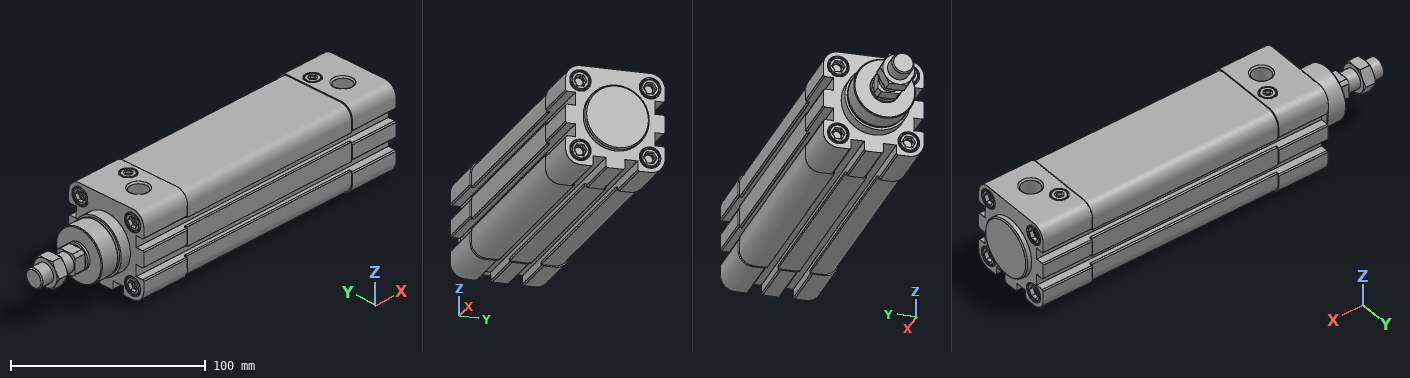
import cadquery as cq
import math

OVERALL_LENGTH = 242.5
COLLAR_START = 33.2
COLLAR_STEP = 46.5
FRONT_FACE = 53.4
CAP_LENGTH = 32.3
REAR_BOSS_LENGTH = 3.5
REAR_FACE = OVERALL_LENGTH - REAR_BOSS_LENGTH
TUBE_START = FRONT_FACE + CAP_LENGTH
TUBE_END = REAR_FACE - CAP_LENGTH

CAP_WIDTH = 54.0
TUBE_INSET = 0.6
TUBE_WIDTH = CAP_WIDTH - 2 * TUBE_INSET
CORNER_RADIUS = 8.0

SLOT_INNER = 5.0
SLOT_OUTER = 12.1
SLOT_FLOOR = 21.5
CAP_SLOT_CHAMFER = 0.7
TUBE_LIP_WIDTH = 0.7
TUBE_LIP_THICKNESS = 1.5
SLOT_TURNS = (90, 180, 270)

COLLAR_DIAMETER = 33.0
BOSS_DIAMETER = 35.0
COLLAR_CHAMFER = 0.5
COLLAR_RELIEF_DIAMETER = 32.5
COLLAR_RELIEF_LENGTH = 1.5
BOSS_CHAMFER = 0.7

SCREW_SPACING = 37.8
SCREW_HOLE_DIAMETER = 11.5
SCREW_HEAD_DIAMETER = 10.0
SCREW_HEAD_CHAMFER = 0.5
SCREW_GAP_DEPTH = 0.7
SOCKET_WIDTH = 6.0
SOCKET_DEPTH = 2.5
SOCKET_DRILL_DIAMETER = 4.8
SOCKET_DRILL_DEPTH = 3.5

PORT_DIAMETER = 11.5
PORT_CHAMFER = 1.0
PORT_DEPTH = 12.1
PORT_FROM_END = 17.7
PORT_Y = -6.0
CUSHION_DIAMETER = 10.0
CUSHION_HEAD_DIAMETER = 8.5
CUSHION_GAP_DEPTH = 0.7
CUSHION_CORE_DIAMETER = 4.8
CUSHION_PROTRUSION = 0.1
CUSHION_SOCKET_DIAMETER = 3.0
CUSHION_SOCKET_DEPTH = 2.5
CUSHION_FROM_END = 25.0
CUSHION_Y = 8.5

THREAD_DIAMETER = 12.0
THREAD_CHAMFER = 0.7
ROD_DIAMETER = 16.0
ROD_CHAMFER = 0.7
FLATS_START = 23.8
FLATS_END = 31.0
FLATS_WIDTH = 13.0
NUT_START = 8.5
NUT_LENGTH = 7.3
NUT_WIDTH = 17.0
NUT_CHAMFER_LENGTH = 0.5
NUT_FACE_DIAMETER = NUT_WIDTH


def round_bar(start, end, diameter):
    return cq.Workplane("YZ", origin=(start, 0, 0)).circle(diameter / 2).extrude(end - start)


def hexagonal_bar(start, end, width):
    """Hexagon of the given width across its flats, with two flats facing up and down."""
    corner_diameter = width / math.cos(math.radians(30))
    return cq.Workplane("YZ", origin=(start, 0, 0)).polygon(6, corner_diameter).extrude(end - start)


def square_bar(start, end, width):
    bar = cq.Workplane("YZ", origin=(start, 0, 0)).rect(width, width).extrude(end - start)
    return bar.edges("|X").fillet(CORNER_RADIUS)


def slotted(bar, start, end, slot_profile):
    """Cut a mirrored pair of slots along X in each slotted side; points are (across, outward)."""
    for turn in SLOT_TURNS:
        for side in (-1, 1):
            profile = [(side * across, out) for across, out in slot_profile]
            slot = cq.Workplane("YZ", origin=(start, 0, 0)).polyline(profile).close().extrude(end - start)
            bar = bar.cut(slot.rotate((0, 0, 0), (1, 0, 0), turn))
    return bar


def make_cap(start):
    """Square end cap whose slots have chamfered outer edges."""
    face = CAP_WIDTH / 2
    chamfer_start = face - CAP_SLOT_CHAMFER
    profile = [
        (SLOT_INNER, SLOT_FLOOR),
        (SLOT_INNER, chamfer_start),
        (SLOT_INNER - CAP_SLOT_CHAMFER, face),
        (SLOT_OUTER + CAP_SLOT_CHAMFER, face),
        (SLOT_OUTER, chamfer_start),
        (SLOT_OUTER, SLOT_FLOOR),
    ]
    end = start + CAP_LENGTH
    return slotted(square_bar(start, end, CAP_WIDTH), start, end, profile)


def make_tube():
    """Square profile tube whose slots are narrowed at the mouth by a lip on each side."""
    face = TUBE_WIDTH / 2
    lip_back = face - TUBE_LIP_THICKNESS
    mouth_inner = SLOT_INNER + TUBE_LIP_WIDTH
    mouth_outer = SLOT_OUTER - TUBE_LIP_WIDTH
    profile = [
        (SLOT_INNER, SLOT_FLOOR),
        (SLOT_INNER, lip_back),
        (mouth_inner, lip_back),
        (mouth_inner, face),
        (mouth_outer, face),
        (mouth_outer, lip_back),
        (SLOT_OUTER, lip_back),
        (SLOT_OUTER, SLOT_FLOOR),
    ]
    return slotted(square_bar(TUBE_START, TUBE_END, TUBE_WIDTH), TUBE_START, TUBE_END, profile)


def make_collar():
    relief_start = COLLAR_STEP - COLLAR_RELIEF_LENGTH
    collar = round_bar(COLLAR_START, relief_start, COLLAR_DIAMETER)
    collar = collar.faces("<X").edges().chamfer(COLLAR_CHAMFER)
    collar = collar.union(round_bar(relief_start, COLLAR_STEP, COLLAR_RELIEF_DIAMETER))
    return collar.union(round_bar(COLLAR_STEP, FRONT_FACE, BOSS_DIAMETER))


def make_rear_boss():
    boss = round_bar(REAR_FACE, OVERALL_LENGTH, BOSS_DIAMETER)
    return boss.faces(">X").edges().chamfer(BOSS_CHAMFER)


def make_screw_recess(face_x, inward):
    """Cutter that leaves a chamfered socket screw head in its hole, flush with the cap."""
    hole = round_bar(0, SCREW_GAP_DEPTH, SCREW_HOLE_DIAMETER)
    head = round_bar(0, SCREW_GAP_DEPTH, SCREW_HEAD_DIAMETER)
    head = head.faces("<X").edges().chamfer(SCREW_HEAD_CHAMFER)
    socket = hexagonal_bar(0, SOCKET_DEPTH, SOCKET_WIDTH)
    drill = round_bar(0, SOCKET_DRILL_DEPTH, SOCKET_DRILL_DIAMETER)
    cutter = hole.cut(head).union(socket).union(drill)
    if inward < 0:
        cutter = cutter.mirror("YZ")
    return cutter.translate((face_x, 0, 0))


def add_tie_screws(body):
    offset = SCREW_SPACING / 2
    for face_x, inward in ((FRONT_FACE, 1), (REAR_FACE, -1)):
        recess = make_screw_recess(face_x, inward)
        for y in (-offset, offset):
            for z in (-offset, offset):
                body = body.cut(recess.translate((0, y, z)))
    return body


def add_port(body, x):
    top = CAP_WIDTH / 2
    mouth_radius = PORT_DIAMETER / 2 + PORT_CHAMFER
    port = cq.Workplane("XY", origin=(x, PORT_Y, top)).circle(PORT_DIAMETER / 2).extrude(-PORT_DEPTH)
    mouth = cq.Solid.makeCone(
        mouth_radius, PORT_DIAMETER / 2, PORT_CHAMFER, cq.Vector(x, PORT_Y, top), cq.Vector(0, 0, -1)
    )
    return body.cut(port).cut(cq.Workplane(mouth))


def add_cushion_screw(body, x):
    top = cq.Workplane("XY", origin=(x, CUSHION_Y, CAP_WIDTH / 2))
    gap = top.circle(CUSHION_DIAMETER / 2).circle(CUSHION_HEAD_DIAMETER / 2).extrude(-CUSHION_GAP_DEPTH)
    core = top.circle(CUSHION_CORE_DIAMETER / 2).extrude(CUSHION_PROTRUSION)
    core_top = top.workplane(offset=CUSHION_PROTRUSION)
    socket = core_top.circle(CUSHION_SOCKET_DIAMETER / 2).extrude(-CUSHION_SOCKET_DEPTH)
    return body.cut(gap).union(core).cut(socket)


def make_housing():
    body = make_tube().union(make_cap(FRONT_FACE)).union(make_cap(TUBE_END))
    body = body.union(make_collar()).union(make_rear_boss())
    body = add_tie_screws(body)
    for x in (FRONT_FACE + PORT_FROM_END, REAR_FACE - PORT_FROM_END):
        body = add_port(body, x)
    for x in (FRONT_FACE + CUSHION_FROM_END, REAR_FACE - CUSHION_FROM_END):
        body = add_cushion_screw(body, x)
    return body


def make_nut():
    nut_end = NUT_START + NUT_LENGTH
    corner_diameter = NUT_WIDTH / math.cos(math.radians(30))
    chamfer_depth = (corner_diameter - NUT_FACE_DIAMETER) / 2
    envelope = round_bar(NUT_START, nut_end, corner_diameter)
    for end_face in ("<X", ">X"):
        envelope = envelope.faces(end_face).chamfer(NUT_CHAMFER_LENGTH, chamfer_depth)
    return hexagonal_bar(NUT_START, nut_end, NUT_WIDTH).intersect(envelope)


def make_rod():
    """Threaded rod end with its nut, wrench flats and the shoulder against the collar."""
    thread = round_bar(0, FLATS_START, THREAD_DIAMETER).faces("<X").edges().chamfer(THREAD_CHAMFER)
    flats = cq.Workplane("YZ", origin=(FLATS_START, 0, 0)).rect(FLATS_WIDTH, FLATS_WIDTH)
    flats = flats.extrude(FLATS_END - FLATS_START)
    flats = flats.intersect(round_bar(FLATS_START, FLATS_END, ROD_DIAMETER))
    shoulder = round_bar(FLATS_END, COLLAR_START, ROD_DIAMETER).faces("<X").edges().chamfer(ROD_CHAMFER)
    return thread.union(flats).union(shoulder).union(make_nut())


housing = make_housing().solids()
rod = make_rod().solids()
result = cq.Compound.makeCompound([housing.val(), rod.val()])